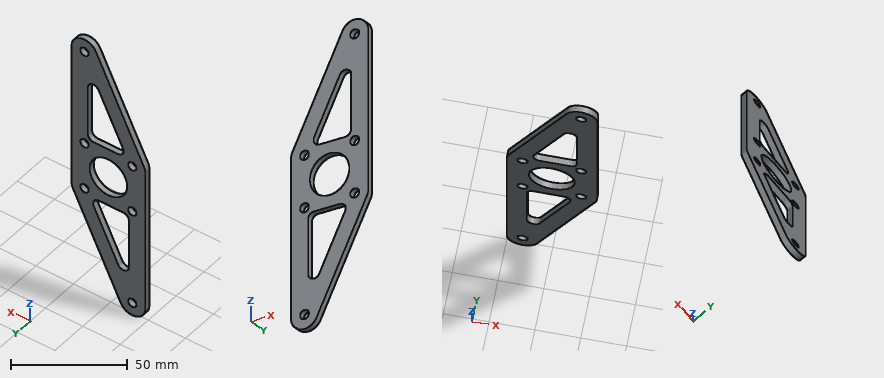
import cadquery as cq
import math

plate_length = 142.0
plate_width = 39.5
plate_thickness = 3.1
corner_radius = 7.0

screw_hole_diameter = 4.4
bore_diameter = 20.0
inner_hole_z = 12.6

window_side_rim = 8.8
window_slant_rim = 8.1
window_base_z = 15.8
window_corner_radius = 3.0

hole_x = plate_width / 2 - corner_radius
tip_hole_z = plate_length / 2 - corner_radius
corner_centers = [
    (hole_x, tip_hole_z),
    (-hole_x, inner_hole_z),
    (-hole_x, -tip_hole_z),
    (hole_x, -inner_hole_z),
]
other_inner_holes = [(hole_x, inner_hole_z), (-hole_x, -inner_hole_z)]

slant_run = 2 * hole_x
slant_rise = tip_hole_z - inner_hole_z
slope = slant_rise / slant_run
slant_length = math.hypot(slant_run, slant_rise)


def slant_z(x, inset):
    """Height at x of a line parallel to the slanted edge, inset from the hole line."""
    return inner_hole_z + slope * (x + hole_x) - inset * slant_length / slant_run


def make_plate():
    """Plate centred on Y, rounded about the four corner holes."""
    return (
        cq.Workplane("XZ")
        .polyline(corner_centers)
        .close()
        .offset2D(corner_radius, "arc")
        .extrude(plate_thickness / 2, both=True)
    )


def make_upper_window():
    """Cutter for the rounded triangular window above the bore."""
    inset = window_slant_rim - corner_radius
    side_x = plate_width / 2 - window_side_rim
    base_left_x = (window_base_z - slant_z(0, inset)) / slope
    return (
        cq.Workplane("XZ")
        .moveTo(base_left_x, window_base_z)
        .lineTo(side_x, window_base_z)
        .lineTo(side_x, slant_z(side_x, inset))
        .close()
        .extrude(plate_thickness, both=True)
        .edges("|Y")
        .fillet(window_corner_radius)
    )


def make_holes(points, diameter):
    """Cutters for round through holes along Y."""
    return (
        cq.Workplane("XZ")
        .pushPoints(points)
        .circle(diameter / 2)
        .extrude(plate_thickness, both=True)
    )


upper_window = make_upper_window()
lower_window = upper_window.rotate((0, 0, 0), (0, 1, 0), 180)

result = (
    make_plate()
    .cut(upper_window)
    .cut(lower_window)
    .cut(make_holes(corner_centers + other_inner_holes, screw_hole_diameter))
    .cut(make_holes([(0, 0)], bore_diameter))
)